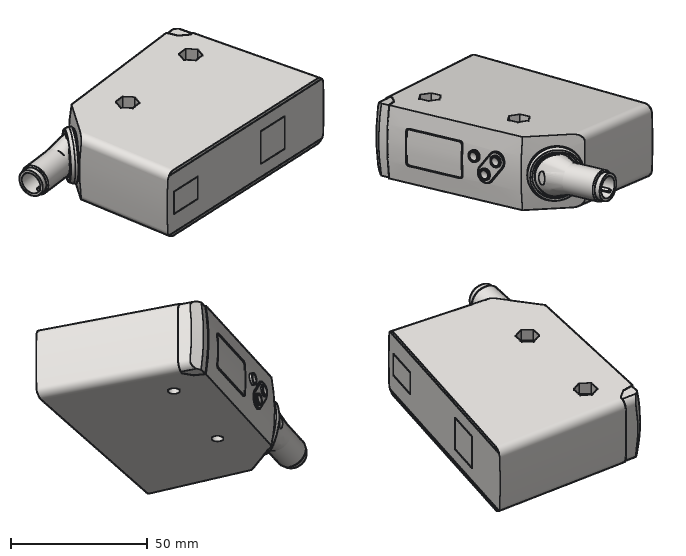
import cadquery as cq
import math

HALF_HEIGHT = 14.2
REACH = 124.7

CONTROL_FACE_TOP = (0, 98.5)
BACK_CHAMFER_END = (3.2, 101.9)
BACK_CORNER = (64.6, 103.9)
WINDOW_LOW_CORNER = (57.2, 15.6)
PLUG_FACE_END = (16.6, 17.3)
CONTROL_FACE_LOW = (0, 33.9)

FACE_CROWN = 1.1
PLUG_FACE_CROWN = 0.9
SIDE_CROWN = 0.4
SIDE_FILLET = 3.4

CAP_INSET = 0.4
CAP_TOP_INSET = 0.2
CAP_LOW = 94.0
CAP_RIGHT = 8.9
CAP_TOP_EDGE = 98.1
CAP_SLANT = (5.7, 95.0)

SCREW_X = 17.0
SCREW_YS = (47.1, 87.0)
SCREW_HOLE_DIAMETER = 4.4
NUT_FLATS = 7.6
NUT_DEPTH = 4.8

DISPLAY_CENTER_Y = 73.1
DISPLAY_LENGTH = 25.4
DISPLAY_HEIGHT = 14.5
DISPLAY_CORNER = 1.4
DISPLAY_GROOVE_WIDTH = 0.3
DISPLAY_FLOOR_X = 0.5

BUTTON_DIAMETER = 4.5
BUTTON_TOP_X = -0.9
BUTTON_ROOT_X = 1.0
SINGLE_BUTTON = (54.7, 3.0)
UPPER_PAIR_BUTTON = (44.9, 3.0)
LOWER_PAIR_BUTTON = (49.8, -3.0)
DIMPLE_DIAMETER = 3.3
DIMPLE_DEPTH = 0.5
PAD_WIDTH = 7.2
PAD_TOP_X = -0.3
PAD_CHAMFER = 0.3

WINDOW_HEIGHT = 25.8
WINDOW_RISE = 0.1
LENS_RISE = 0.1
LENS_LENGTH = 13.5
LARGE_LENS_X = 61.6
LARGE_LENS_HEIGHT = 14.1
SMALL_LENS_X = 57.5
SMALL_LENS_HEIGHT = 9.7

SPIGOT_DIAMETER = 19.6
SPIGOT_DEPTH = 1.6
FLANGE_DIAMETER = 21.0
FLANGE_START = 0.3
FLANGE_CONE_START = 1.5
FLANGE_TOP = 2.9
FLANGE_TOP_DIAMETER = 19.6
GROOVE_DIAMETER = 18.0
GROOVE_FLOOR = 1.7
NECK_TOP = 3.1
NECK_DIAMETER = 16.0
FLANGE_CENTER = (8.9, 24.9)

BARREL_X = 7.2
BARREL_DIAMETER = 12.0
BARREL_TOP = 16.1
BARREL_BOTTOM = 2.6
TIP_DIAMETER = 10.6
TIP_TOP = 2.1
BORE_DIAMETER = 8.3
BORE_DEPTH = 9.4
KEY_WIDTH = 1.1
KEY_HEIGHT = 1.4
KEY_SETBACK = 1.0
KEY_ANGLE = -42

GRIP_RADIUS = 2.6
GRIP_CENTER = (-1.1, 25.4)


def unit_vector(start, end):
    length = math.dist(start, end)
    return ((end[0] - start[0]) / length, (end[1] - start[1]) / length)


def crowned_slab(start, end, crown, fillet=0.0):
    """Thick slab whose outer face bulges over its height and runs along the line from start to end.

    The slab lies to the left of that line, seen from above.
    """
    along_x, along_y = unit_vector(start, end)
    along = cq.Vector(along_x, along_y, 0)
    outward = cq.Vector(along_y, -along_x, 0)
    plane = cq.Plane(origin=(start[0], start[1], 0), xDir=outward, normal=along)
    slab = (
        cq.Workplane(plane)
        .moveTo(-REACH, -HALF_HEIGHT)
        .lineTo(-crown, -HALF_HEIGHT)
        .threePointArc((0, 0), (-crown, HALF_HEIGHT))
        .lineTo(-REACH, HALF_HEIGHT)
        .close()
        .extrude(REACH, both=True)
    )
    if fillet:
        long_edges = slab.edges(cq.selectors.ParallelDirSelector(along))
        slab = long_edges.edges(cq.selectors.DirectionMinMaxSelector(outward, True)).fillet(fillet)
    return slab


def housing_blank():
    outline = [
        CONTROL_FACE_TOP, CONTROL_FACE_LOW, PLUG_FACE_END,
        WINDOW_LOW_CORNER, BACK_CORNER, BACK_CHAMFER_END,
    ]
    blank = cq.Workplane("XY").polyline(outline).close().extrude(HALF_HEIGHT, both=True)
    blank = blank.intersect(crowned_slab(CONTROL_FACE_TOP, CONTROL_FACE_LOW, FACE_CROWN))
    blank = blank.intersect(crowned_slab(CONTROL_FACE_LOW, PLUG_FACE_END, PLUG_FACE_CROWN))
    blank = blank.intersect(crowned_slab(BACK_CHAMFER_END, CONTROL_FACE_TOP, FACE_CROWN))
    blank = blank.intersect(crowned_slab(PLUG_FACE_END, WINDOW_LOW_CORNER, SIDE_CROWN, SIDE_FILLET))
    return blank.intersect(crowned_slab(BACK_CORNER, BACK_CHAMFER_END, SIDE_CROWN, SIDE_FILLET))


def inset_corner_cap(blank):
    """Step the skin of the back corner inward, down to a copy of the blank moved in by the inset."""
    corner = (
        cq.Workplane("XY")
        .polyline([
            (-REACH, CAP_LOW), (FACE_CROWN, CAP_LOW), CAP_SLANT,
            (CAP_RIGHT, CAP_TOP_EDGE), (CAP_RIGHT, REACH), (-REACH, REACH),
        ])
        .close()
        .extrude(HALF_HEIGHT, both=True)
    )
    lowered = blank.translate((CAP_INSET, -CAP_INSET, 0))
    slimming = cq.Workplane("XY").box(2 * REACH, 2 * REACH, 2 * (HALF_HEIGHT - CAP_TOP_INSET))
    return blank.cut(corner).union(lowered.intersect(corner).intersect(slimming))


def cut_screw_holes(body):
    places = [(SCREW_X, y) for y in SCREW_YS]
    holes = (
        cq.Workplane("XY")
        .pushPoints(places)
        .circle(SCREW_HOLE_DIAMETER / 2)
        .extrude(HALF_HEIGHT, both=True)
    )
    nut_corners = NUT_FLATS / math.cos(math.pi / 6)
    hexagon = cq.Sketch().regularPolygon(nut_corners / 2, 6)
    pockets = (
        cq.Workplane("XY", origin=(0, 0, HALF_HEIGHT))
        .pushPoints(places)
        .placeSketch(hexagon)
        .extrude(-NUT_DEPTH)
    )
    return body.cut(holes).cut(pockets)


def control_plane(x):
    """Workplane at the given X, with local axes Y and Z and its normal along +X."""
    return cq.Workplane("YZ", origin=(x, 0, 0))


def display_block(margin):
    return (
        control_plane(-FACE_CROWN)
        .center(DISPLAY_CENTER_Y, 0)
        .rect(DISPLAY_LENGTH - 2 * margin, DISPLAY_HEIGHT - 2 * margin)
        .extrude(FACE_CROWN + DISPLAY_FLOOR_X)
        .edges("|X")
        .fillet(DISPLAY_CORNER - margin)
    )


def cut_display_groove(body):
    return body.cut(display_block(0).cut(display_block(DISPLAY_GROOVE_WIDTH)))


def button_pad():
    """Raised oblong pad that carries the pair of buttons."""
    rise = UPPER_PAIR_BUTTON[1] - LOWER_PAIR_BUTTON[1]
    run = UPPER_PAIR_BUTTON[0] - LOWER_PAIR_BUTTON[0]
    middle_y = (UPPER_PAIR_BUTTON[0] + LOWER_PAIR_BUTTON[0]) / 2
    middle_z = (UPPER_PAIR_BUTTON[1] + LOWER_PAIR_BUTTON[1]) / 2
    return (
        control_plane(PAD_TOP_X)
        .center(middle_y, middle_z)
        .slot2D(math.hypot(run, rise) + PAD_WIDTH, PAD_WIDTH, math.degrees(math.atan2(rise, run)))
        .extrude(BUTTON_ROOT_X - PAD_TOP_X)
        .faces("<X")
        .chamfer(PAD_CHAMFER)
    )


def button(center):
    """Round button with a spherical dimple in its end."""
    radius = BUTTON_DIAMETER / 2
    dimple_radius = DIMPLE_DIAMETER / 2
    ball_radius = (dimple_radius ** 2 + DIMPLE_DEPTH ** 2) / (2 * DIMPLE_DEPTH)
    half_angle = math.asin(dimple_radius / ball_radius) / 2
    arc_middle = (
        BUTTON_TOP_X + DIMPLE_DEPTH - ball_radius * (1 - math.cos(half_angle)),
        ball_radius * math.sin(half_angle),
    )
    return (
        cq.Workplane("XY", origin=(0, *center))
        .moveTo(BUTTON_ROOT_X, 0)
        .lineTo(BUTTON_TOP_X + DIMPLE_DEPTH, 0)
        .threePointArc(arc_middle, (BUTTON_TOP_X, dimple_radius))
        .lineTo(BUTTON_TOP_X, radius)
        .lineTo(BUTTON_ROOT_X, radius)
        .close()
        .revolve(360, (0, 0, 0), (1, 0, 0))
    )


def window_strip(near_x, length, base, top, height):
    """Flat block on the slanted window face, between two levels measured outward from that face.

    It starts where the face has the given X and runs along the face toward the back corner.
    """
    along_x, along_y = unit_vector(WINDOW_LOW_CORNER, BACK_CORNER)
    near_distance = (near_x - WINDOW_LOW_CORNER[0]) / along_x
    plane = cq.Plane(origin=(*WINDOW_LOW_CORNER, 0), xDir=(along_x, along_y, 0), normal=(0, 0, 1))
    return (
        cq.Workplane(plane)
        .moveTo(near_distance, -top)
        .rect(length, top - base, centered=False)
        .extrude(height / 2, both=True)
    )


def cut_window_rims(body):
    """Lower the upper and lower edges of the window face, which leaves the window proud between them."""
    before = WINDOW_LOW_CORNER[0] - WINDOW_RISE
    full_face = window_strip(before, REACH, -WINDOW_RISE, WINDOW_RISE, 2 * HALF_HEIGHT)
    window = window_strip(before, REACH, -WINDOW_RISE, WINDOW_RISE, WINDOW_HEIGHT)
    return body.cut(full_face.cut(window))


def lens(near_x, height):
    return window_strip(near_x, LENS_LENGTH, -LENS_RISE, LENS_RISE, height)


def flange_plane(height):
    """Workplane parallel to the plug face, at a height above it, with its normal pointing outward."""
    along_x, along_y = unit_vector(CONTROL_FACE_LOW, PLUG_FACE_END)
    normal = (along_y, -along_x, 0)
    origin = (FLANGE_CENTER[0] + height * normal[0], FLANGE_CENTER[1] + height * normal[1], 0)
    return cq.Workplane(cq.Plane(origin=origin, xDir=(0, 0, 1), normal=normal))


def spigot():
    return flange_plane(-SPIGOT_DEPTH).circle(SPIGOT_DIAMETER / 2).extrude(SPIGOT_DEPTH + FLANGE_START)


def make_housing():
    body = inset_corner_cap(housing_blank())
    body = cut_screw_holes(body)
    body = cut_display_groove(body)
    body = body.union(button_pad())
    for center in (SINGLE_BUTTON, UPPER_PAIR_BUTTON, LOWER_PAIR_BUTTON):
        body = body.union(button(center))
    body = cut_window_rims(body)
    body = body.union(lens(LARGE_LENS_X, LARGE_LENS_HEIGHT))
    body = body.union(lens(SMALL_LENS_X, SMALL_LENS_HEIGHT))
    return body.cut(spigot())


def plug_flange():
    rim = flange_plane(FLANGE_START).circle(FLANGE_DIAMETER / 2).extrude(FLANGE_CONE_START - FLANGE_START)
    cone_height = FLANGE_TOP - FLANGE_CONE_START
    cone = (
        flange_plane(FLANGE_CONE_START)
        .circle(FLANGE_DIAMETER / 2)
        .workplane(offset=cone_height)
        .circle(FLANGE_TOP_DIAMETER / 2)
        .loft()
    )
    groove = flange_plane(GROOVE_FLOOR).circle(GROOVE_DIAMETER / 2).extrude(cone_height)
    return spigot().union(rim).union(cone).cut(groove)


def barrel_plane(y):
    """Workplane across the barrel at the given Y, with local axes X and Z and its normal along -Y."""
    return cq.Workplane("XZ", origin=(BARREL_X, y, 0))


def plug_elbow():
    """Slanted neck blending into the round barrel, with a finger grip cut across the blend."""
    neck = flange_plane(GROOVE_FLOOR).circle(NECK_DIAMETER / 2).extrude(NECK_TOP - GROOVE_FLOOR)
    base = flange_plane(NECK_TOP).circle(NECK_DIAMETER / 2).wires().val()
    end = barrel_plane(BARREL_TOP).circle(BARREL_DIAMETER / 2).wires().val()
    blend = cq.Workplane(cq.Solid.makeLoft([base, end]))
    grip = cq.Workplane("XY").center(*GRIP_CENTER).circle(GRIP_RADIUS).extrude(HALF_HEIGHT, both=True)
    return neck.union(blend.cut(grip))


def plug_barrel():
    sleeve = barrel_plane(BARREL_TOP).circle(BARREL_DIAMETER / 2).extrude(BARREL_TOP - TIP_TOP)
    sleeve = sleeve.faces("<Y").chamfer(BARREL_BOTTOM - TIP_TOP)
    tip = barrel_plane(TIP_TOP).circle(TIP_DIAMETER / 2).extrude(TIP_TOP)
    bore = barrel_plane(BORE_DEPTH).circle(BORE_DIAMETER / 2).extrude(BORE_DEPTH)
    return sleeve.union(tip).cut(bore)


def bore_key():
    """Rib along the bore wall that polarises the plug."""
    wall_overlap = (TIP_DIAMETER - BORE_DIAMETER) / 4
    return (
        barrel_plane(BORE_DEPTH)
        .transformed(rotate=(0, 0, KEY_ANGLE))
        .center(BORE_DIAMETER / 2 - (KEY_HEIGHT - wall_overlap) / 2, 0)
        .rect(KEY_HEIGHT + wall_overlap, KEY_WIDTH)
        .extrude(BORE_DEPTH - KEY_SETBACK)
    )


def make_plug():
    return plug_flange().union(plug_elbow()).union(plug_barrel()).union(bore_key())


housing = make_housing()
plug = make_plug()
result = cq.Compound.makeCompound([housing.val(), plug.val()])